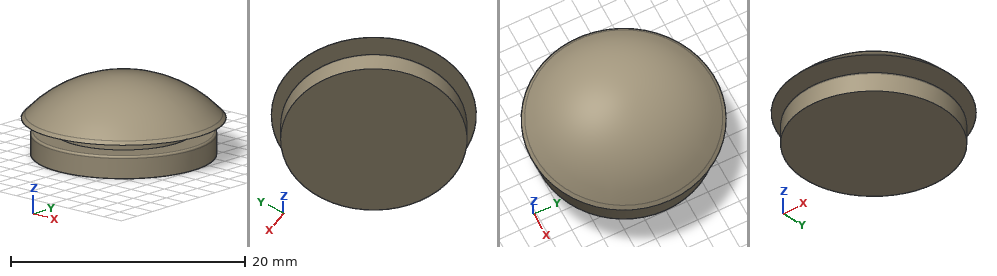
import cadquery as cq

total_height = 7.1
base_diameter = 15.9
base_height = 2.0
base_edge_radius = 0.2
neck_diameter = 11.9
neck_height = 1.2
cap_diameter = 17.5
rim_bevel = 0.3

base_radius = base_diameter / 2
neck_radius = neck_diameter / 2
cap_radius = cap_diameter / 2
cap_bottom = base_height + neck_height
dome_bottom = cap_bottom + rim_bevel
dome_edge_radius = cap_radius - rim_bevel
dome_height = total_height - dome_bottom
dome_sphere_radius = (dome_edge_radius**2 + dome_height**2) / (2 * dome_height)


def make_base():
    """Round foot with a rounded upper edge."""
    foot = cq.Workplane("XY").circle(base_radius).extrude(base_height)
    return foot.faces(">Z").edges().fillet(base_edge_radius)


def make_neck():
    """Narrow post that joins the foot to the cap, leaving a groove between them."""
    return cq.Workplane("XY").workplane(offset=base_height).circle(neck_radius).extrude(neck_height)


def make_cap():
    """Spherical dome with a bevelled rim, revolved about Z."""
    sphere_centre_z = total_height - dome_sphere_radius
    arc_mid_radius = dome_edge_radius / 2
    arc_mid_z = sphere_centre_z + (dome_sphere_radius**2 - arc_mid_radius**2) ** 0.5
    profile = (
        cq.Workplane("XZ")
        .moveTo(0, cap_bottom)
        .lineTo(cap_radius, cap_bottom)
        .lineTo(dome_edge_radius, dome_bottom)
        .threePointArc((arc_mid_radius, arc_mid_z), (0, total_height))
        .close()
    )
    return profile.revolve(360, (0, 0, 0), (0, 1, 0))


result = make_base().union(make_neck()).union(make_cap())